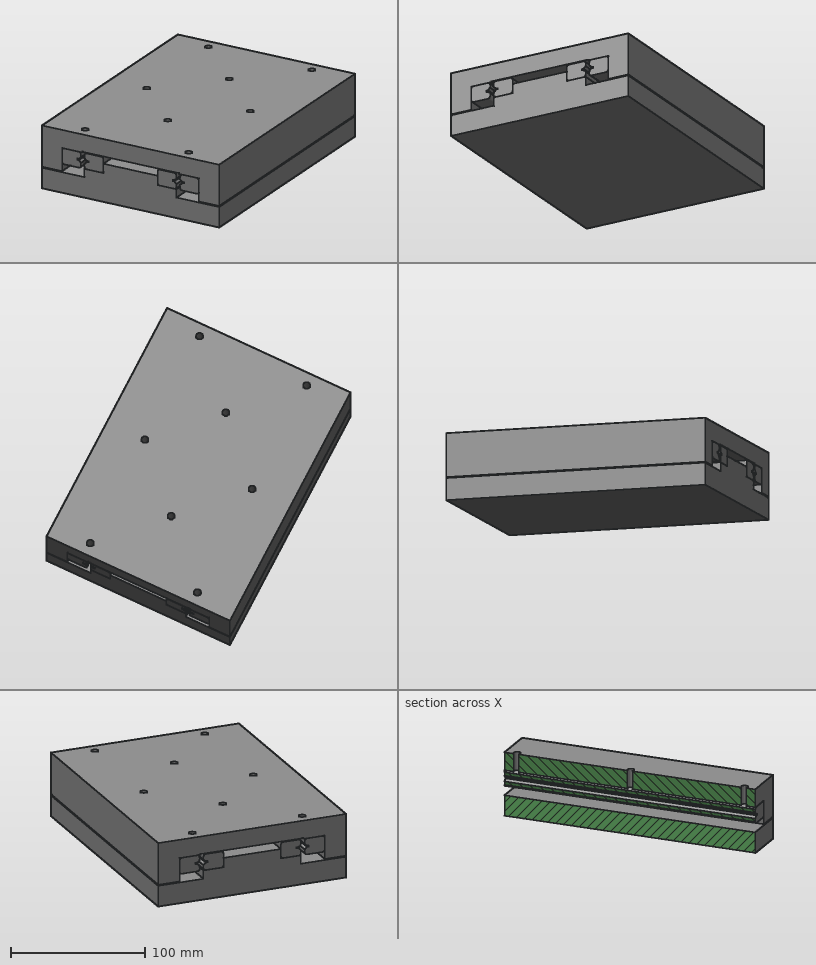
import cadquery as cq

width = 152.5
length = 203.2
height = 50.8

rail_width = 16.3
rail_height = 12.8
rail_corner_radius = 1.8
rail_pair_x = 41.0
rail_gap = 3.0
rail_bottom = 23.4
groove_depth = 2.2
relief_height = 0.8
relief_depth = 4.9

flange_top = 16.7
riser_top = 30.9

side_clearance = 0.8
roof_relief = 0.6
roof_relief_half_width = 41.7

hole_diameter = 5.3
edge_hole_x = 44.5
hole_pitch_y = 92.0

rail_top = rail_bottom + rail_height
rail_middle = rail_bottom + rail_height / 2
rail_face_offset = rail_gap / 2
rail_back_offset = rail_face_offset + rail_width
riser_half_width = rail_pair_x - rail_face_offset
seat_half_width = rail_pair_x - rail_back_offset
channel_half_width = rail_pair_x + rail_back_offset
carriage_bottom = flange_top + side_clearance


def bar(x_half, z_low, z_high):
    """Full-length block, centred in X and Y, between two heights."""
    return (
        cq.Workplane("XY")
        .workplane(offset=z_low)
        .rect(2 * x_half, length)
        .extrude(z_high - z_low)
    )


def make_base():
    flange = bar(width / 2, 0, flange_top)
    lower_riser = bar(riser_half_width, flange_top, rail_bottom)
    upper_riser = bar(seat_half_width, rail_bottom, riser_top)
    return flange.union(lower_riser).union(upper_riser)


def make_carriage():
    block = bar(width / 2, carriage_bottom, height)
    channel = bar(channel_half_width, carriage_bottom, rail_top)
    roof_recess = bar(roof_relief_half_width, rail_top, rail_top + roof_relief)
    carriage = block.cut(channel).cut(roof_recess)

    hole_points = [(0, side * hole_pitch_y / 2) for side in (-1, 1)]
    for x in (-edge_hole_x, edge_hole_x):
        for row in (-1, 0, 1):
            hole_points.append((x, row * hole_pitch_y))
    holes = (
        cq.Workplane("XY")
        .workplane(offset=rail_bottom)
        .pushPoints(hole_points)
        .circle(hole_diameter / 2)
        .extrude(height - rail_bottom)
    )
    return carriage.cut(holes)


def make_rail(gap_x, back_direction):
    """Rail whose grooved face looks at gap_x and whose back lies toward back_direction in X."""
    face_x = gap_x + back_direction * rail_face_offset
    body = (
        cq.Workplane("XY")
        .box(rail_width, length, rail_height)
        .edges("|Y")
        .fillet(rail_corner_radius)
        .translate((face_x + back_direction * rail_width / 2, 0, rail_middle))
    )
    groove = (
        cq.Workplane("XZ")
        .polyline([
            (face_x, rail_middle - groove_depth),
            (face_x + back_direction * groove_depth, rail_middle),
            (face_x, rail_middle + groove_depth),
        ])
        .close()
        .extrude(length / 2, both=True)
    )
    relief_middle = gap_x + back_direction * relief_depth / 2
    relief = cq.Workplane("XY").box(relief_depth, length, relief_height)
    relief = relief.translate((relief_middle, 0, rail_middle))
    return body.cut(groove).cut(relief)


base = make_base()
carriage = make_carriage()
rails = []
for gap_x in (-rail_pair_x, rail_pair_x):
    for back_direction in (-1, 1):
        rails.append(make_rail(gap_x, back_direction))

result = cq.Compound.makeCompound([
    base.val(),
    carriage.val(),
    *[rail.val() for rail in rails],
])